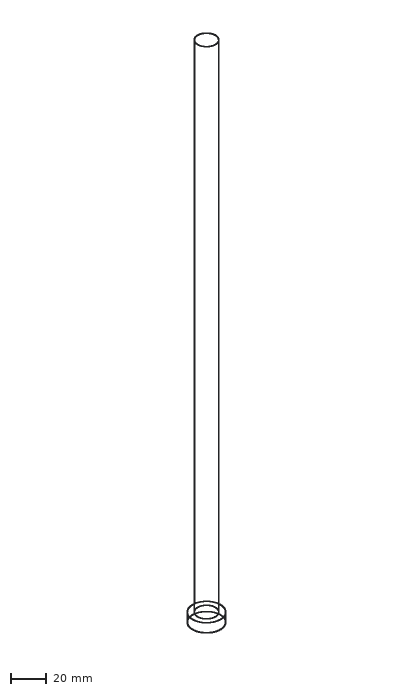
import cadquery as cq

total_length = 400.0
head_diameter = 22.0
shaft_diameter = 14.0
head_thickness = shaft_diameter / 2

head = cq.Workplane("XY").circle(head_diameter / 2).extrude(head_thickness)
shaft = cq.Workplane("XY").circle(shaft_diameter / 2).extrude(total_length)

result = head.union(shaft)